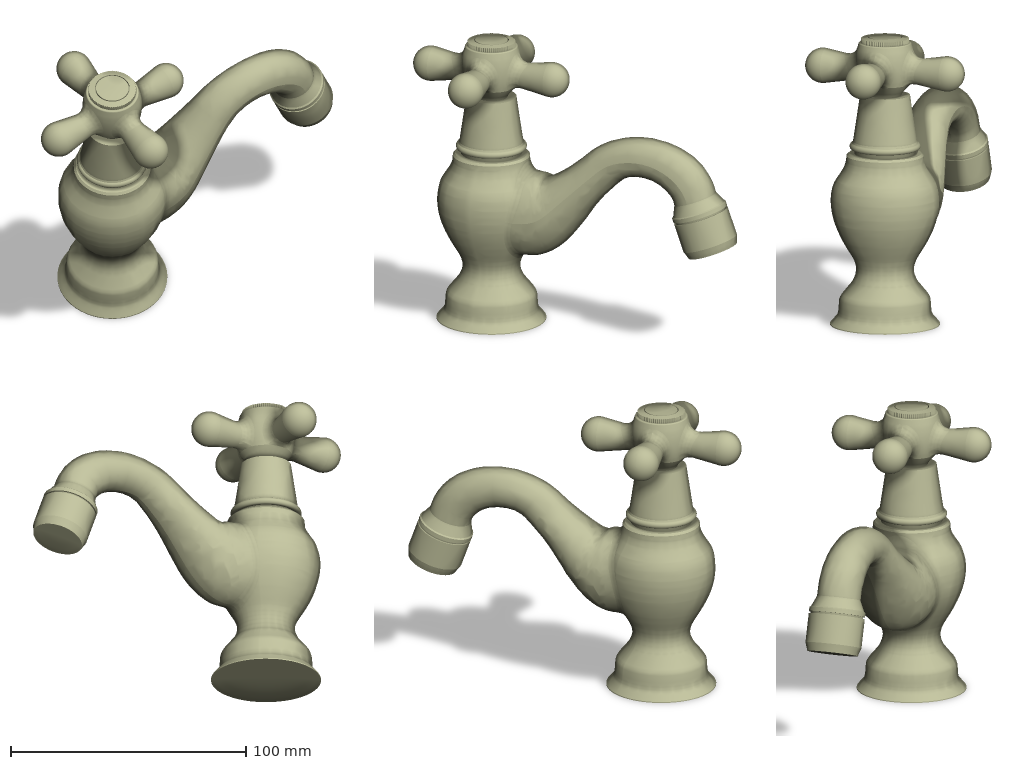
import cadquery as cq
import math


FOOT_RADIUS = 23.4
FOOT_EDGE = 0.5
BODY_TOP_RADIUS = 16.4
BODY_TOP_Z = 74.0
BODY_TOP_CHAMFER = 0.9
BODY_OUTLINE = [
    (21.6, 2.5),
    (20.4, 4.0),
    (19.4, 11.1),
    (15.4, 16.4),
    (12.3, 24.1),
    (16.1, 32.7),
    (23.1, 52.5),
    (21.3, 61.9),
    (17.9, 67.2),
    (16.5, 71.0),
]

SPOUT_SECTIONS = [
    (7.4, 49.1, 0, 17.2, 18.6),
    (17.0, 49.4, 2, 17.0, 18.2),
    (26.3, 51.0, 11, 16.3, 16.7),
    (36.8, 59.8, 45, 13.8, 11.2),
    (45.5, 67.9, 45, 11.4, 9.3),
    (56.1, 77.2, 39, 9.3, 8.7),
    (70.0, 81.02, 0, 8.9, 8.6),
    (79.3, 79.8, -19, 9.0, 8.9),
    (87.3, 75.8, -40, 9.3, 9.3),
    (92.0, 70.7, -59, 9.3, 9.3),
    (94.1, 65.7, -70, 9.3, 9.3),
]
OUTLET_Y, OUTLET_Z, OUTLET_SLOPE, OUTLET_RADIUS = SPOUT_SECTIONS[-1][:4]
SPOUT_ROOT_FILLET = 4.5

COLLAR_RADIUS = 12.0
COLLAR_FLARE_RADIUS = 11.4
COLLAR_FLARE_END = 4.6
COLLAR_STEP_END = 5.0
COLLAR_END = 6.8
OUTLET_NECK_RADIUS = 11.2
AERATOR_START = 7.7
AERATOR_RADIUS = 12.0
AERATOR_END_RADIUS = 10.8
AERATOR_TAPER_START = 20.1
AERATOR_END = 23.7

SLEEVE_NECK_RADIUS = 13.0
BEAD_BOTTOM_Z = 75.8
BEAD_RADIUS = 15.1
BEAD_TOP_Z = 78.6
BEAD_SHOULDER_RADIUS = 14.0
SLEEVE_STEP_Z = 79.3
SLEEVE_BOTTOM_RADIUS = 13.6
SLEEVE_TOP_RADIUS = 10.7
SLEEVE_TOP_Z = 99.3

ARM_COUNT = 4
ARM_Z = 110.2
ARM_REACH = 35.5
KNOB_RADIUS = 7.5
ARM_TAPER = 9.5
ARM_FILLET = 5.2
HUB_FOOT_RADIUS = 7.0
HUB_NECK_RADIUS = 7.7
HUB_NECK_Z = 100.8
HUB_LOWER_RADIUS = 11.0
HUB_LOWER_Z = 104.3
HUB_RADIUS = 12.6
HUB_MIDDLE_Z = 111.7
HUB_TOP_RADIUS = 11.1
HUB_TOP_Z = 122.1
HUB_TOP_ROUND = 0.6

RING_RADIUS = 10.2
SERRATION_COUNT = 72
SERRATION_DEPTH = 0.3
CAP_TOP_Z = 125.0
DOME_RADIUS = 47.4
RECESS_RADIUS = 7.4
RECESS_FLOOR_Z = 123.5
DISC_RADIUS = 7.0


def make_column():
    """Turned foot, waist and bulb of the body."""
    profile = (
        cq.Workplane("XZ")
        .lineTo(FOOT_RADIUS, 0)
        .lineTo(FOOT_RADIUS, FOOT_EDGE)
        .spline(
            BODY_OUTLINE + [(BODY_TOP_RADIUS, BODY_TOP_Z - BODY_TOP_CHAMFER)],
            includeCurrent=True,
        )
        .lineTo(BODY_TOP_RADIUS - BODY_TOP_CHAMFER, BODY_TOP_Z)
        .lineTo(0, BODY_TOP_Z)
        .close()
    )
    return profile.revolve(360, (0, 0, 0), (0, 1, 0))


def spout_section(y, z, slope, half_width, half_height):
    """Elliptical wire square to the spout path."""
    angle = math.radians(slope)
    along = cq.Vector(0, math.cos(angle), math.sin(angle))
    return cq.Wire.makeEllipse(
        half_width, half_height, cq.Vector(0, y, z), along, cq.Vector(1, 0, 0)
    )


def turn_on_outlet(points):
    """Solid turned about the outlet axis from (radius, distance) points."""
    angle = math.radians(OUTLET_SLOPE)
    profile_plane = cq.Plane(
        origin=(0, OUTLET_Y, OUTLET_Z),
        xDir=(1, 0, 0),
        normal=(0, -math.sin(angle), math.cos(angle)),
    )
    profile = cq.Workplane(profile_plane).polyline(points).close()
    return profile.revolve(360, (0, 0, 0), (0, 1, 0))


def make_collar():
    """Flared collar and short neck closing the spout."""
    return turn_on_outlet(
        [
            (0, 0),
            (OUTLET_RADIUS, 0),
            (COLLAR_FLARE_RADIUS, COLLAR_FLARE_END),
            (COLLAR_RADIUS, COLLAR_STEP_END),
            (COLLAR_RADIUS, COLLAR_END),
            (OUTLET_NECK_RADIUS, COLLAR_END),
            (OUTLET_NECK_RADIUS, AERATOR_START),
            (0, AERATOR_START),
        ]
    )


def make_body():
    """Column, spout and collar in one piece, with the spout root blended into the bulb."""
    sections = [spout_section(*section) for section in SPOUT_SECTIONS]
    spout = cq.Workplane(cq.Solid.makeLoft(sections))
    root_box = cq.selectors.BoxSelector(
        (-BODY_TOP_RADIUS, SPOUT_SECTIONS[0][0], 0), (BODY_TOP_RADIUS, FOOT_RADIUS, BODY_TOP_Z)
    )
    joined = make_column().union(spout)
    joined = joined.edges(root_box).fillet(SPOUT_ROOT_FILLET)
    return joined.union(make_collar())


def make_aerator():
    """Aerator below the collar, tapered towards its mouth."""
    return turn_on_outlet(
        [
            (0, AERATOR_START),
            (AERATOR_RADIUS, AERATOR_START),
            (AERATOR_RADIUS, AERATOR_TAPER_START),
            (AERATOR_END_RADIUS, AERATOR_END),
            (0, AERATOR_END),
        ]
    )


def make_sleeve():
    """Tapered sleeve with a rounded bead above a short neck."""
    bead_middle_z = (BEAD_BOTTOM_Z + BEAD_TOP_Z) / 2
    profile = (
        cq.Workplane("XZ")
        .moveTo(0, BODY_TOP_Z)
        .lineTo(SLEEVE_NECK_RADIUS, BODY_TOP_Z)
        .lineTo(SLEEVE_NECK_RADIUS, BEAD_BOTTOM_Z)
        .lineTo(SLEEVE_BOTTOM_RADIUS, BEAD_BOTTOM_Z)
        .threePointArc((BEAD_RADIUS, bead_middle_z), (BEAD_SHOULDER_RADIUS, BEAD_TOP_Z))
        .lineTo(SLEEVE_BOTTOM_RADIUS, SLEEVE_STEP_Z)
        .lineTo(SLEEVE_TOP_RADIUS, SLEEVE_TOP_Z)
        .lineTo(0, SLEEVE_TOP_Z)
        .close()
    )
    return profile.revolve(360, (0, 0, 0), (0, 1, 0))


def make_hub():
    """Turned hub that stands on the sleeve on a narrow concave foot."""
    profile = (
        cq.Workplane("XZ")
        .moveTo(0, HUB_TOP_Z)
        .lineTo(HUB_TOP_RADIUS, HUB_TOP_Z)
        .threePointArc((HUB_RADIUS, HUB_MIDDLE_Z), (HUB_LOWER_RADIUS, HUB_LOWER_Z))
        .lineTo(HUB_NECK_RADIUS, HUB_NECK_Z)
        .tangentArcPoint((HUB_FOOT_RADIUS, SLEEVE_TOP_Z), relative=False)
        .lineTo(0, SLEEVE_TOP_Z)
        .close()
    )
    hub = profile.revolve(360, (0, 0, 0), (0, 1, 0))
    hub = hub.faces(">Z").edges().fillet(HUB_TOP_ROUND)
    return hub.rotate((0, 0, 0), (0, 0, 1), 180 / ARM_COUNT)


def make_arm():
    """Tapered arm along +X with a ball end that the taper meets tangentially."""
    taper = math.radians(ARM_TAPER)
    knob_x = ARM_REACH - KNOB_RADIUS
    tangent_x = knob_x - KNOB_RADIUS * math.sin(taper)
    tangent_radius = KNOB_RADIUS * math.cos(taper)
    root_radius = tangent_radius - tangent_x * math.tan(taper)
    bulge = math.sqrt(0.5) * KNOB_RADIUS
    profile = (
        cq.Workplane("XZ", origin=(0, 0, ARM_Z))
        .lineTo(0, root_radius)
        .lineTo(tangent_x, tangent_radius)
        .threePointArc((knob_x + bulge, bulge), (ARM_REACH, 0))
        .close()
    )
    return profile.revolve(360, (0, 0, 0), (1, 0, 0))


def make_handle():
    """Hub with four arms, each blended into the hub."""
    handle = make_hub()
    arm = make_arm()
    for index in range(ARM_COUNT):
        handle = handle.union(arm.rotate((0, 0, 0), (0, 0, 1), index * 360 / ARM_COUNT))
    root_box = cq.selectors.BoxSelector(
        (-HUB_RADIUS, -HUB_RADIUS, HUB_LOWER_Z + ARM_FILLET / 2),
        (HUB_RADIUS, HUB_RADIUS, ARM_Z + ARM_FILLET / 2),
    )
    return handle.edges(root_box).fillet(ARM_FILLET)


def make_dome():
    """Large ball whose top is the gently domed top of the cap."""
    return cq.Workplane("XY", origin=(0, 0, CAP_TOP_Z - DOME_RADIUS)).sphere(DOME_RADIUS)


def make_cap_ring():
    """Serrated ring with a domed top and a round recess for the disc."""
    outline = []
    for index in range(2 * SERRATION_COUNT):
        angle = math.pi * index / SERRATION_COUNT
        radius = RING_RADIUS - SERRATION_DEPTH * (index % 2)
        outline.append((radius * math.cos(angle), radius * math.sin(angle)))
    ring = (
        cq.Workplane("XY", origin=(0, 0, HUB_TOP_Z))
        .polyline(outline)
        .close()
        .extrude(CAP_TOP_Z - HUB_TOP_Z)
        .intersect(make_dome())
    )
    recess = (
        cq.Workplane("XY", origin=(0, 0, RECESS_FLOOR_Z))
        .circle(RECESS_RADIUS)
        .extrude(CAP_TOP_Z - RECESS_FLOOR_Z)
    )
    return ring.cut(recess)


def make_cap_disc():
    """Disc in the ring recess, with a narrow gap around it."""
    disc = (
        cq.Workplane("XY", origin=(0, 0, RECESS_FLOOR_Z))
        .circle(DISC_RADIUS)
        .extrude(CAP_TOP_Z - RECESS_FLOOR_Z)
    )
    return disc.intersect(make_dome())


body = make_body()
aerator = make_aerator()
sleeve = make_sleeve()
handle = make_handle()
cap_ring = make_cap_ring()
cap_disc = make_cap_disc()

result = cq.Compound.makeCompound(
    [
        body.val(),
        aerator.val(),
        sleeve.val(),
        handle.val(),
        cap_ring.val(),
        cap_disc.val(),
    ]
)